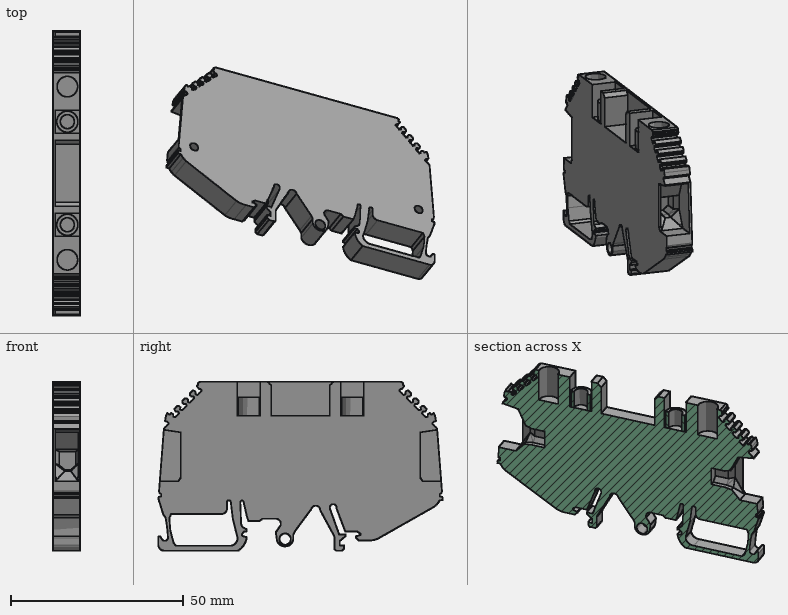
import cadquery as cq
import math

thickness = 7.9
length = 82.7
height = 49.1
half_length = length / 2
cover_wall = 0.75
cavity_width = thickness - cover_wall
bore_center_x = 4.2

shoulder_top = (28.7, 46.5)
shoulder_bottom = (39.7, 35.5)
comb_pitch = 3.15
first_tooth = 2.4
tooth_count = 3
tooth_height = 1.9
tooth_head = 1.8
tooth_tip = 1.2
tooth_neck = 0.9
tooth_root = 1.3
tooth_neck_height = 0.6
tooth_flare_height = 0.9
tooth_shoulder_height = 1.5
tooth_sink = 0.2

tower_bore_y = 25.1
tower_bore_diameter = 5.95
socket_y = 15.0
socket_pocket_length = 6.7
socket_diameter = 6.1
socket_bore = 4.05
socket_recess = 4.5
trough_length = 19.2
trough_chamfer = 1.15
opening_depth = 9.9

ledge_z = 20.3
entry_top_outer_z = 35.15
entry_top_inner_z = 34.4
entry_wall_y = 34.8
entry_wall = 0.6
entry_inner_x = thickness - entry_wall
entry_wall_foot = (0.7, 1.0)
funnel_mouth_y = 32.4
funnel_mouth_top_z = 29.4
funnel_mouth_bend_z = 25.3
funnel_throat_y = 30.6
wire_hole_depth = 4.1
throat_left, throat_right = 1.8, 6.7
throat_flat_left, throat_flat_right = 3.5, 5.2
throat_top_z, throat_bend_z, throat_bottom_z = 28.8, 24.8, 23.5
funnel_lip_y = 32.8
funnel_lip_z = 23.15

pin_hole_y = 36.1
pin_hole_z = 18.6
pin_hole_diameter = 2.6
pin_hole_depth = 3.3
eyelet_center = (-4.5, 3.4)
eyelet_bore = 3.2

foot_radius = 1.8
foot_arc_inset = foot_radius * (1 - math.sqrt(0.5))

END_UPPER = [
    (29.2, height), (29.85, 48.7), (29.7, 48.2), (30.2, 47.9), (29.4, 47.0), (29.2, 47.05), shoulder_top,
]
END_LOWER = [
    (36.4, 38.8), (36.9, 38.95), (36.9, 39.6), (37.55, 40.0), (38.05, 39.5), (38.7, 40.0), (39.1, 39.1),
    (39.4, 37.8), (39.0, 37.5), (38.8, 37.55), (38.2, 37.0), shoulder_bottom,
    (41.1, 17.45), (41.0, 16.8), (40.4, 16.45), (40.4, 15.8), (41.1, 15.7), (half_length, 15.3),
]

UNDERSIDE = [
    [(half_length, 14.7)], [(40.4, 14.6)], [(39.8, 13.65)], [(38.8, 12.7)],
    [(22.6, 3.55)], [(21.1, 3.1), (19.6, 3.0)],
    [(16.9, 3.0)], [(16.05, 3.8)], [(16.05, 4.2)], [(17.4, 4.6)], [(17.4, 5.0)], [(16.5, 5.5)], [(13.0, 5.5)],
    [(10.4, 12.3)], [(9.3, 13.5), (8.6, 12.15)], [(11.25, 4.8)],
    [(13.1, 4.8)], [(13.1, 4.2)], [(11.4, 2.8)], [(11.4, 1.6)], [(12.65, 1.6)], [(12.65, 0.6)],
    [(12.1, 0)], [(10.3, 0)], [(9.8, 0.5)], [(9.8, 4.0)], [(9.4, 4.9)],
    [(5.7, 11.75)], [(4.4, 13.1), (3.15, 12.1)], [(-1.6, 5.7)], [(-2.1, 4.7)],
    [(-2.1, 3.2)], [(-4.5, 1.2), (-6.95, 3.55)], [(-7.2, 5.4)],
    [(-5.8, 7.45)], [(-5.95, 8.6), (-6.9, 9.3)], [(-11.1, 9.3)], [(-11.9, 8.6)], [(-15.1, 8.6)],
    [(-15.6, 10.1)], [(-16.5, 14.15)], [(-17.0, 14.55), (-17.45, 14.1)], [(-17.2, 7.8)], [(-16.9, 6.95)],
    [(-15.55, 6.2)], [(-15.55, 5.6)], [(-16.4, 5.5)], [(-16.95, 4.9)], [(-16.95, 4.5)], [(-16.5, 4.2)],
    [(-15.55, 4.0)], [(-16.4, 1.7), (-18.1, 0)],
    [(-half_length + foot_radius, 0)],
    [(-half_length + foot_arc_inset, foot_arc_inset), (-half_length, foot_radius)],
    [(-half_length, 3.8)], [(-41.0, 4.2), (-40.5, 3.9)],
    [(-40.1, 3.2)], [(-39.1, 3.0), (-38.5, 4.05)],
    [(-38.7, 6.2), (-39.2, 9.6)], [(-39.9, 10.5)],
]

FOOT_WINDOW_START = (-20.3, 14.1)
FOOT_WINDOW = [
    [(-19.7, 9.3)], [(-18.3, 3.6)], [(-19.0, 2.1), (-20.75, 1.5)], [(-36.1, 1.5)], [(-36.8, 2.2)],
    [(-37.8, 6.0)], [(-38.05, 9.5)], [(-37.55, 10.7)], [(-22.8, 10.7)], [(-21.75, 11.2), (-21.3, 12.3)],
    [(-21.3, 14.0)], [(-20.8, 14.6), FOOT_WINDOW_START],
]


def prism(start, steps, x_start, x_end):
    """Extrude a closed YZ path of lines and three-point arcs from x_start to x_end."""
    path = cq.Workplane("YZ", origin=(x_start, 0, 0)).moveTo(*start)
    for step in steps:
        if len(step) == 1:
            path = path.lineTo(*step[0])
        else:
            path = path.threePointArc(*step)
    return path.close().extrude(x_end - x_start)


def polygon_prism(points, x_start, x_end):
    return cq.Workplane("YZ", origin=(x_start, 0, 0)).polyline(points).close().extrude(x_end - x_start)


def both_ends(shape):
    """The shape at the -Y end together with its mirror image at the +Y end."""
    return shape.union(shape.mirror("XZ"))


def body_plate():
    right_end = END_UPPER + END_LOWER
    left_end = [(-y, z) for y, z in reversed(right_end)]
    steps = [[p] for p in right_end[1:]] + UNDERSIDE + [[p] for p in left_end]
    return prism(right_end[0], steps, 0, thickness)


def comb_teeth():
    """Mushroom shaped teeth along the -Y shoulder."""
    half_profile = [
        (tooth_root / 2, -tooth_sink), (tooth_root / 2, 0), (tooth_neck / 2, tooth_neck_height),
        (tooth_head / 2, tooth_flare_height), (tooth_head / 2, tooth_shoulder_height),
        (tooth_tip / 2, tooth_height),
    ]
    profile = half_profile + [(-u, v) for u, v in reversed(half_profile)]
    slope = math.sqrt(0.5)
    teeth = cq.Workplane("YZ")
    for i in range(tooth_count):
        along = first_tooth + i * comb_pitch
        points = []
        for u, v in profile:
            out = shoulder_top[0] + (along + u + v) * slope
            up = shoulder_top[1] + (v - along - u) * slope
            points.append((-out, up))
        teeth = teeth.union(polygon_prism(points, 0, thickness))
    return teeth


def throat_outline():
    """XZ outline of the wire hole: a rectangle with its lower corners cut off."""
    return [
        (throat_left, throat_top_z), (throat_right, throat_top_z),
        (throat_right, throat_bend_z), (throat_flat_right, throat_bottom_z),
        (throat_flat_left, throat_bottom_z), (throat_left, throat_bend_z),
    ]


def faceted_solid(facets):
    faces = [cq.Face.makeFromWires(cq.Wire.makePolygon(points, close=True)) for points in facets]
    return cq.Workplane(cq.Solid.makeSolid(cq.Shell.makeShell(faces)))


def wire_funnel():
    """Flat facets that narrow from the chamber to the wire hole at the -Y end."""
    ledge_back_y = -entry_wall_y - entry_wall_foot[0]
    top_left = (cover_wall, -funnel_mouth_y, funnel_mouth_top_z)
    top_right = (entry_inner_x, -funnel_mouth_y, funnel_mouth_top_z)
    bend_right = (entry_inner_x, -funnel_mouth_y, funnel_mouth_bend_z)
    bend_left = (cover_wall, -funnel_mouth_y, funnel_mouth_bend_z)
    low_right = (entry_inner_x, ledge_back_y, ledge_z)
    low_left = (cover_wall, ledge_back_y, ledge_z)
    throat = [(x, -funnel_throat_y, z) for x, z in throat_outline()]
    throat_top_l, throat_top_r, throat_bend_r, throat_low_r, throat_low_l, throat_bend_l = throat
    lip_right = (throat_flat_right, -funnel_lip_y, funnel_lip_z)
    lip_left = (throat_flat_left, -funnel_lip_y, funnel_lip_z)
    return faceted_solid([
        throat,
        [top_left, top_right, bend_right, bend_left],
        [bend_left, bend_right, low_right, low_left],
        [top_left, top_right, throat_top_r, throat_top_l],
        [low_left, low_right, lip_right, lip_left],
        [lip_left, lip_right, throat_low_r, throat_low_l],
        [top_left, bend_left, throat_bend_l, throat_top_l],
        [top_right, bend_right, throat_bend_r, throat_top_r],
        [bend_left, low_left, lip_left],
        [bend_right, low_right, lip_right],
        [bend_left, lip_left, throat_low_l],
        [bend_right, lip_right, throat_low_r],
        [bend_left, throat_low_l, throat_bend_l],
        [bend_right, throat_low_r, throat_bend_r],
    ])


def wire_entry():
    """Everything removed for the wire entry at the -Y end."""
    beyond_end = half_length + 0.8
    foot_dy, foot_dz = entry_wall_foot
    recess = polygon_prism(
        [
            (-beyond_end, ledge_z), (-entry_wall_y - foot_dy, ledge_z), (-entry_wall_y, ledge_z + foot_dz),
            (-entry_wall_y, entry_top_inner_z), (-shoulder_bottom[0], entry_top_outer_z),
            (-beyond_end, entry_top_outer_z),
        ],
        cover_wall, thickness,
    )
    chamber = polygon_prism(
        [
            (-entry_wall_y - foot_dy, ledge_z), (-funnel_mouth_y, funnel_mouth_bend_z),
            (-funnel_mouth_y, funnel_mouth_top_z), (-entry_wall_y, entry_top_inner_z),
        ],
        cover_wall, entry_inner_x,
    )
    throat = throat_outline()
    throat_plane = cq.Workplane("XZ", origin=(0, -funnel_throat_y, 0))
    wire_hole = throat_plane.polyline(throat).close().extrude(-wire_hole_depth)
    return recess.union(chamber).union(wire_funnel()).union(wire_hole)


def top_opening(center_y, opening_length):
    """Slot in the top, open to the +X side."""
    return cq.Workplane("XY").box(
        cavity_width, opening_length, opening_depth, centered=(False, True, False)
    ).translate((cover_wall, center_y, height - opening_depth))


def trough():
    half_top = trough_length / 2
    half_floor = half_top - trough_chamfer
    chamfer_z = height - trough_chamfer
    floor_z = height - opening_depth
    return polygon_prism(
        [
            (-half_top, height), (-half_floor, chamfer_z), (-half_floor, floor_z),
            (half_floor, floor_z), (half_floor, chamfer_z), (half_top, height),
        ],
        cover_wall, thickness,
    )


def tower_bore():
    return (
        cq.Workplane("XY", origin=(bore_center_x, -tower_bore_y, height))
        .circle(tower_bore_diameter / 2).extrude(-opening_depth)
    )


def pin_hole():
    return (
        cq.Workplane("YZ").center(-pin_hole_y, pin_hole_z)
        .circle(pin_hole_diameter / 2).extrude(pin_hole_depth)
    )


def make_housing():
    eyelet = cq.Workplane("YZ").center(*eyelet_center).circle(eyelet_bore / 2).extrude(thickness)
    housing = body_plate().union(both_ends(comb_teeth()))
    housing = housing.cut(prism(FOOT_WINDOW_START, FOOT_WINDOW, 0, thickness)).cut(eyelet)
    housing = housing.cut(trough())
    for feature in (wire_entry(), tower_bore(), pin_hole(), top_opening(-socket_y, socket_pocket_length)):
        housing = housing.cut(both_ends(feature))
    return housing


def make_socket(center_y):
    """Tubular socket standing on the floor of its pocket."""
    socket_height = opening_depth - socket_recess
    return (
        cq.Workplane("XY", origin=(bore_center_x, center_y, height - opening_depth))
        .circle(socket_diameter / 2).circle(socket_bore / 2).extrude(socket_height)
    )


housing = make_housing()
sockets = [make_socket(side * socket_y) for side in (-1, 1)]
result = cq.Compound.makeCompound([housing.solids().val(), *[socket.val() for socket in sockets]])